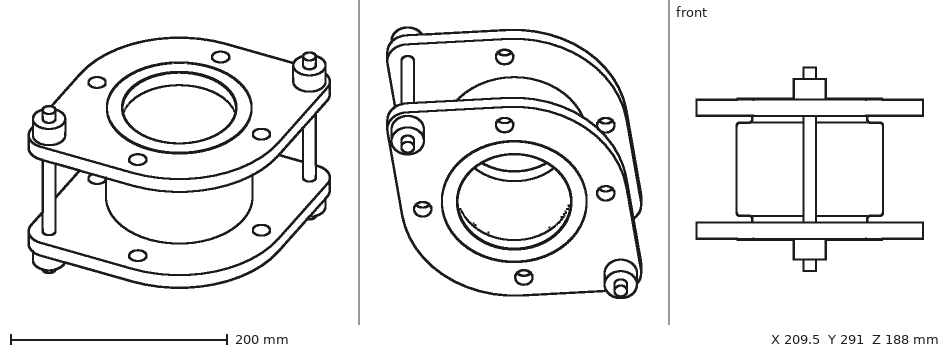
import cadquery as cq
import math

PLATE_WIDTH = 209.5
PLATE_LENGTH = 291.0
TOTAL_HEIGHT = 188.0

PLATE_THICKNESS = 15.0
PLATE_INNER_Z = 49.2
PLATE_OUTER_Z = PLATE_INNER_Z + PLATE_THICKNESS
DISC_RADIUS = PLATE_WIDTH / 2
EAR_RADIUS = 19.0
EAR_Y = PLATE_LENGTH / 2 - EAR_RADIUS
BOLT_CIRCLE_DIAMETER = 170.0
BOLT_HOLE_DIAMETER = 16.0
BOLT_HOLE_COUNT = 4

BORE_RADIUS = 52.5
BORE_EDGE_CHAMFER = 0.5
NECK_RADIUS = 53.3
BODY_RADIUS = 67.8
BODY_HALF_HEIGHT = 43.0
BODY_FILLET = 3.2
NECK_FILLET = 3.0
FACE_RADIUS = 67.0
FACE_HEIGHT = 1.0
FACE_Z = PLATE_OUTER_Z + FACE_HEIGHT

ROD_DIAMETER = 12.0
COLLAR_DIAMETER = 30.0
COLLAR_HEIGHT = 19.2


def cylinder(radius, bottom_z, top_z, y=0.0):
    """Upright solid cylinder between two heights, centred on X = 0."""
    return cq.Workplane("XY", origin=(0, y, bottom_z)).circle(radius).extrude(top_z - bottom_z)


def plate(bottom_z):
    """Disc joined by tangent straight edges to a rounded ear at each Y end, with bolt holes."""
    tangent_angle = math.asin((DISC_RADIUS - EAR_RADIUS) / EAR_Y)
    disc_x = DISC_RADIUS * math.cos(tangent_angle)
    disc_y = DISC_RADIUS * math.sin(tangent_angle)
    ear_x = EAR_RADIUS * math.cos(tangent_angle)
    ear_y = EAR_Y + EAR_RADIUS * math.sin(tangent_angle)
    ear_tip_y = PLATE_LENGTH / 2
    outline = (
        cq.Workplane("XY", origin=(0, 0, bottom_z))
        .moveTo(disc_x, -disc_y)
        .threePointArc((DISC_RADIUS, 0), (disc_x, disc_y))
        .lineTo(ear_x, ear_y)
        .threePointArc((0, ear_tip_y), (-ear_x, ear_y))
        .lineTo(-disc_x, disc_y)
        .threePointArc((-DISC_RADIUS, 0), (-disc_x, -disc_y))
        .lineTo(-ear_x, -ear_y)
        .threePointArc((0, -ear_tip_y), (ear_x, -ear_y))
        .close()
    )
    holes = (
        cq.Workplane("XY", origin=(0, 0, bottom_z))
        .polarArray(BOLT_CIRCLE_DIAMETER / 2, 180 / BOLT_HOLE_COUNT, 360, BOLT_HOLE_COUNT)
        .circle(BOLT_HOLE_DIAMETER / 2)
        .extrude(PLATE_THICKNESS)
    )
    return outline.extrude(PLATE_THICKNESS).cut(holes)


def sleeve():
    """Rounded body with a narrower neck running out to each plate, filleted into the body ends."""
    body = cylinder(BODY_RADIUS, -BODY_HALF_HEIGHT, BODY_HALF_HEIGHT)
    body = body.faces("|Z").edges().fillet(BODY_FILLET)
    neck = cylinder(NECK_RADIUS, -PLATE_INNER_Z, PLATE_INNER_Z)
    joined = body.union(neck)
    body_ends = joined.faces("|Z").faces(">Z[-2] or <Z[-2]")
    smallest_circles = cq.selectors.RadiusNthSelector(0)
    return body_ends.edges(smallest_circles).fillet(NECK_FILLET)


def bore():
    """Through bore with a small chamfer at both sealing faces."""
    mouth_radius = BORE_RADIUS + BORE_EDGE_CHAMFER
    straight_z = FACE_Z - BORE_EDGE_CHAMFER
    return (
        cq.Workplane("XZ")
        .moveTo(0, -FACE_Z)
        .lineTo(mouth_radius, -FACE_Z)
        .lineTo(BORE_RADIUS, -straight_z)
        .lineTo(BORE_RADIUS, straight_z)
        .lineTo(mouth_radius, FACE_Z)
        .lineTo(0, FACE_Z)
        .close()
        .revolve(360, (0, 0, 0), (0, 1, 0))
    )


def tie_rod(y):
    """Full-height rod with a collar against the outer side of each plate."""
    rod = cylinder(ROD_DIAMETER / 2, -TOTAL_HEIGHT / 2, TOTAL_HEIGHT / 2, y)
    collar_end_z = PLATE_OUTER_Z + COLLAR_HEIGHT
    top_collar = cylinder(COLLAR_DIAMETER / 2, PLATE_OUTER_Z, collar_end_z, y)
    bottom_collar = cylinder(COLLAR_DIAMETER / 2, -collar_end_z, -PLATE_OUTER_Z, y)
    return rod.union(top_collar).union(bottom_collar)


result = sleeve()
for plate_bottom_z in (PLATE_INNER_Z, -PLATE_OUTER_Z):
    result = result.union(plate(plate_bottom_z))
result = result.union(cylinder(FACE_RADIUS, PLATE_INNER_Z, FACE_Z))
result = result.union(cylinder(FACE_RADIUS, -FACE_Z, -PLATE_INNER_Z))
result = result.cut(bore())
for rod_y in (EAR_Y, -EAR_Y):
    result = result.union(tie_rod(rod_y))